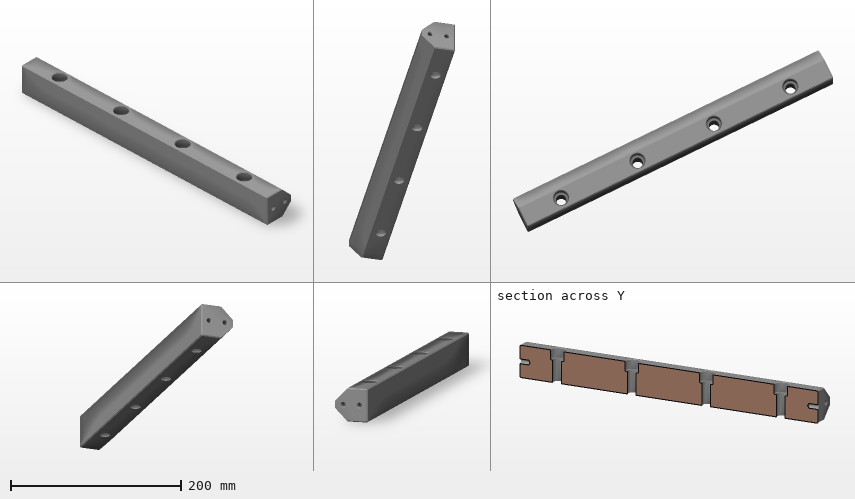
import cadquery as cq
import math

LENGTH = 400.0
SIZE = 40.0
BEVEL = 15.5
EDGE_CHAMFER = 1.0

HOLE_COUNT = 4
HOLE_PITCH = LENGTH / HOLE_COUNT
HOLE_DIAMETER = 12.5
COUNTERBORE_DIAMETER = 18.5
COUNTERBORE_DEPTH = 12.0
MOUTH_CHAMFER = 1.0
MOUTH_RADIUS = COUNTERBORE_DIAMETER / 2 + MOUTH_CHAMFER
FRONT_LAND = 3.0
HOLE_Y = FRONT_LAND + MOUTH_RADIUS

END_HOLE_DIAMETER = 5.0
END_HOLE_DEPTH = 12.0
END_HOLE_SPACING = 20.0
END_HOLE_MOUTH_DIAMETER = 7.0
DRILL_TIP_HALF_ANGLE = math.radians(59)


def make_bar():
    """Square bar along X, its back edges cut away at 45 degrees and its outer edges broken."""
    half = SIZE / 2
    profile = [
        (0, -half),
        (SIZE - BEVEL, -half),
        (SIZE, BEVEL - half),
        (SIZE, half - BEVEL),
        (SIZE - BEVEL, half),
        (0, half),
    ]
    bar = cq.Workplane("YZ").polyline(profile).close().extrude(LENGTH)
    broken_edges = bar.faces("<Y").edges().add(bar.faces("<Z or >Z").edges("|Y"))
    return broken_edges.chamfer(EDGE_CHAMFER)


def make_mounting_holes():
    """Cutters for the row of counterbored through holes with chamfered mouths."""
    centres = [((i + 0.5) * HOLE_PITCH, HOLE_Y) for i in range(HOLE_COUNT)]
    top = cq.Workplane("XY", origin=(0, 0, SIZE / 2)).pushPoints(centres)
    through = top.circle(HOLE_DIAMETER / 2).extrude(-SIZE)
    counterbores = top.circle(COUNTERBORE_DIAMETER / 2).extrude(-COUNTERBORE_DEPTH)
    mouths = top.circle(MOUTH_RADIUS).extrude(-MOUTH_CHAMFER, taper=45)
    return through.union(counterbores).union(mouths)


def make_end_hole(x, y, direction):
    """Cutter for one blind hole with a 45 degree countersunk mouth and a drill tip, entering along X."""
    radius = END_HOLE_DIAMETER / 2
    mouth_radius = END_HOLE_MOUTH_DIAMETER / 2
    mouth_depth = mouth_radius - radius
    tip_depth = END_HOLE_DEPTH + radius / math.tan(DRILL_TIP_HALF_ANGLE)
    half_section = [
        (0, 0),
        (0, mouth_radius),
        (direction * mouth_depth, radius),
        (direction * END_HOLE_DEPTH, radius),
        (direction * tip_depth, 0),
    ]
    section = cq.Workplane("XZ", origin=(x, y, 0)).polyline(half_section).close()
    return section.revolve(360, (0, 0, 0), (1, 0, 0))


result = make_bar().cut(make_mounting_holes())
for end_x, inward in ((0, 1), (LENGTH, -1)):
    for side in (-1, 1):
        hole_y = SIZE / 2 + side * END_HOLE_SPACING / 2
        result = result.cut(make_end_hole(end_x, hole_y, inward))